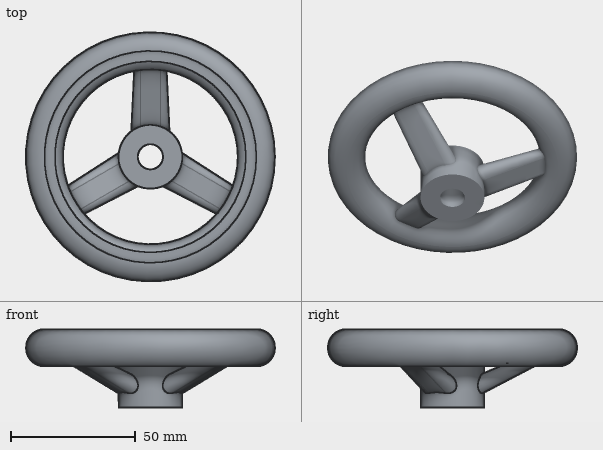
import cadquery as cq
import math

wheel_radius = 50.0
rim_section_radius = 7.5
rim_top = 31.5
ledge_inner_radius = 38.3
rim_centre_radius = wheel_radius - rim_section_radius
rim_centre_height = rim_top - rim_section_radius

hub_radius = 12.8
hub_height = 17.0
bore_radius = 5.0

spoke_count = 3
spoke_first_angle = 90.0
spoke_flat_width = 8.1
spoke_inner_radius = 7.0
spoke_inner_height = 7.4
spoke_inner_thickness = 7.7
spoke_outer_thickness = 4.3


def make_rim():
    ledge_offset = rim_centre_radius - ledge_inner_radius
    ledge_height = rim_centre_height + math.sqrt(rim_section_radius**2 - ledge_offset**2)
    profile = (
        cq.Workplane("XZ")
        .moveTo(rim_centre_radius, ledge_height)
        .lineTo(rim_centre_radius, rim_top)
        .threePointArc(
            (wheel_radius, rim_centre_height),
            (rim_centre_radius, rim_top - 2 * rim_section_radius),
        )
        .threePointArc(
            (rim_centre_radius - rim_section_radius, rim_centre_height),
            (ledge_inner_radius, ledge_height),
        )
        .close()
    )
    return profile.revolve(360, (0, 0, 0), (0, 1, 0))


def make_spoke():
    """One spoke along +X, climbing from the hub to the middle of the rim section."""
    run = rim_centre_radius - spoke_inner_radius
    rise = rim_centre_height - spoke_inner_height
    start = cq.Plane(
        origin=(spoke_inner_radius, 0, spoke_inner_height),
        xDir=(0, 1, 0),
        normal=(run, 0, rise),
    )
    return (
        cq.Workplane(start)
        .slot2D(spoke_flat_width + spoke_inner_thickness, spoke_inner_thickness)
        .workplane(offset=math.hypot(run, rise))
        .slot2D(spoke_flat_width + spoke_outer_thickness, spoke_outer_thickness)
        .loft(ruled=True)
    )


hub = cq.Workplane("XY").circle(hub_radius).extrude(hub_height)
bore = cq.Workplane("XY").circle(bore_radius).extrude(hub_height)

wheel = make_rim().union(hub)
spoke = make_spoke()
for index in range(spoke_count):
    angle = spoke_first_angle + index * 360 / spoke_count
    wheel = wheel.union(spoke.rotate((0, 0, 0), (0, 0, 1), angle))

result = wheel.cut(bore)